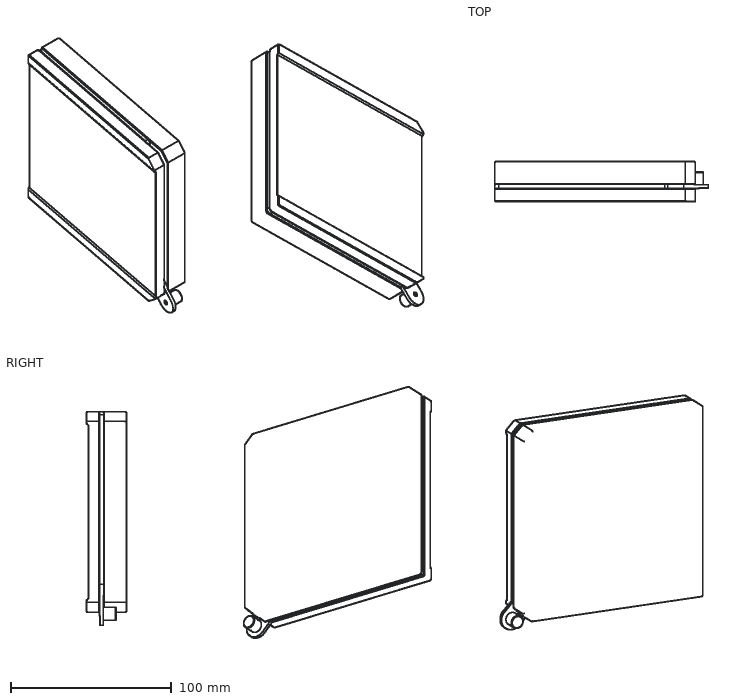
import cadquery as cq
import math

OVERALL = 133.1
CASE_SIDE = 125.0
CASE_DEPTH = 25.0
CASE_TOP = OVERALL
CASE_BOTTOM = OVERALL - CASE_SIDE

FRONT_SHELL_DEPTH = 8.3
CORE_DEPTH = 2.4
CORE_BACK = FRONT_SHELL_DEPTH + CORE_DEPTH
BACK_SHELL_DEPTH = CASE_DEPTH - CORE_BACK
SHELL_CORNER_RADIUS = 1.5
RIGHT_CORNER_CUT = 6.1
BACK_EDGE_RADIUS = 1.0
SEAM_CHAMFER = 0.5
FRONT_CHAMFER = 0.5

STRIP_HEIGHT = 7.5
PANEL_RECESS = 1.0
STRIP_SLOPE = 0.9

CORE_CORNER_CHAMFER = 2.4
BAY_WIDTH = 17.3
BAY_LIP_CHAMFER = 1.9
SCOOP_WIDTH = 10.0
SCOOP_RISE = 3.0

TAB_ANGLE = 45
TAB_RADIUS = 7.2
TAB_DEPTH = 2.1
TAB_FRONT = 8.4
TAB_X = OVERALL - TAB_RADIUS
TAB_Z = TAB_RADIUS
PIN_RADIUS = 4.1
PIN_LENGTH = 8.0
PIN_CHAMFER = 0.4
RIVET_RADIUS = 1.5
RIVET_HEIGHT = 0.5
RIVET_CHAMFER_INSET = 0.8
RIVET_CHAMFER_HEIGHT = 0.4


def case_block(front, depth):
    """Square block from Y = front, with rounded left and cut right corners."""
    block = cq.Workplane("XY").box(CASE_SIDE, depth, CASE_SIDE, centered=False)
    block = block.translate((0, front, CASE_BOTTOM))
    block = block.edges("|Y and <X").fillet(SHELL_CORNER_RADIUS)
    return block.edges("|Y and >X").chamfer(RIGHT_CORNER_CUT)


def back_shell():
    """Plain half with rounded back edges and a bevelled seam."""
    shell = case_block(CORE_BACK, BACK_SHELL_DEPTH)
    shell = shell.faces(">Y").edges().fillet(BACK_EDGE_RADIUS)
    return shell.faces("<Y").edges().chamfer(SEAM_CHAMFER)


def panel_recess():
    """Channel across the front whose long walls slope outwards."""
    bottom = CASE_BOTTOM + STRIP_HEIGHT
    top = CASE_TOP - STRIP_HEIGHT
    return (
        cq.Workplane("YZ")
        .moveTo(0, bottom)
        .lineTo(PANEL_RECESS, bottom + STRIP_SLOPE)
        .lineTo(PANEL_RECESS, top - STRIP_SLOPE)
        .lineTo(0, top)
        .close()
        .extrude(CASE_SIDE)
    )


def front_shell():
    """Half with the recessed panel; the panel is bevelled at its left and right ends."""
    shell = case_block(0, FRONT_SHELL_DEPTH)
    shell = shell.faces(">Y").edges().chamfer(SEAM_CHAMFER)
    shell = shell.faces("<Y").edges("|X or <X").chamfer(FRONT_CHAMFER)
    shell = shell.cut(panel_recess())
    panel_centre = (CASE_SIDE / 2, PANEL_RECESS, CASE_BOTTOM + CASE_SIDE / 2)
    panel = shell.faces(cq.selectors.NearestToPointSelector(panel_centre))
    return panel.edges("|Z").chamfer(FRONT_CHAMFER)


def core():
    """Sheet between the shells, open on the right down to the scooped root of the tab."""
    bay_x = CASE_SIDE - BAY_WIDTH
    scoop_end_x = bay_x + SCOOP_WIDTH
    scoop_end_z = TAB_Z + TAB_RADIUS * math.sqrt(2) + TAB_X - scoop_end_x
    floor_z = scoop_end_z - SCOOP_RISE
    scoop_radius = (SCOOP_WIDTH**2 + SCOOP_RISE**2) / (2 * SCOOP_RISE)
    half_angle = math.asin(SCOOP_WIDTH / scoop_radius) / 2
    middle_x = bay_x + scoop_radius * math.sin(half_angle)
    middle_z = floor_z + scoop_radius * (1 - math.cos(half_angle))
    cut_corner = CASE_SIDE - RIGHT_CORNER_CUT
    return (
        cq.Workplane("XZ", origin=(0, CORE_BACK, 0))
        .moveTo(CORE_CORNER_CHAMFER, CASE_BOTTOM)
        .lineTo(cut_corner, CASE_BOTTOM)
        .lineTo(CASE_SIDE, CASE_BOTTOM + RIGHT_CORNER_CUT)
        .lineTo(CASE_SIDE, scoop_end_z - (CASE_SIDE - scoop_end_x))
        .lineTo(scoop_end_x, scoop_end_z)
        .threePointArc((middle_x, middle_z), (bay_x, floor_z))
        .lineTo(bay_x, CASE_TOP - BAY_LIP_CHAMFER)
        .lineTo(bay_x - BAY_LIP_CHAMFER, CASE_TOP)
        .lineTo(CORE_CORNER_CHAMFER, CASE_TOP)
        .lineTo(0, CASE_TOP - CORE_CORNER_CHAMFER)
        .lineTo(0, CASE_BOTTOM + CORE_CORNER_CHAMFER)
        .close()
        .extrude(CORE_DEPTH)
    )


def disc(radius, front, depth):
    """Disc on the tab axis, from Y = front towards the back."""
    plane = cq.Workplane("XZ", origin=(TAB_X, front + depth, TAB_Z))
    return plane.circle(radius).extrude(depth)


def tab():
    """Arm with a rounded end, carrying a pin on its back and a rivet head on its front."""
    reach = 2 * TAB_RADIUS
    arm = (
        cq.Workplane("XY")
        .box(reach, TAB_DEPTH, 2 * TAB_RADIUS)
        .translate((-reach / 2, TAB_DEPTH / 2, 0))
        .rotate((0, 0, 0), (0, 1, 0), TAB_ANGLE)
        .translate((TAB_X, TAB_FRONT, TAB_Z))
    )
    pin = disc(PIN_RADIUS, TAB_FRONT + TAB_DEPTH, PIN_LENGTH)
    pin = pin.faces(">Y").edges().chamfer(PIN_CHAMFER)
    rivet = disc(RIVET_RADIUS, TAB_FRONT - RIVET_HEIGHT, RIVET_HEIGHT)
    rivet = rivet.faces("<Y").edges().chamfer(RIVET_CHAMFER_HEIGHT, RIVET_CHAMFER_INSET)
    return arm.union(disc(TAB_RADIUS, TAB_FRONT, TAB_DEPTH)).union(pin).union(rivet)


result = front_shell().union(core()).union(back_shell()).union(tab())